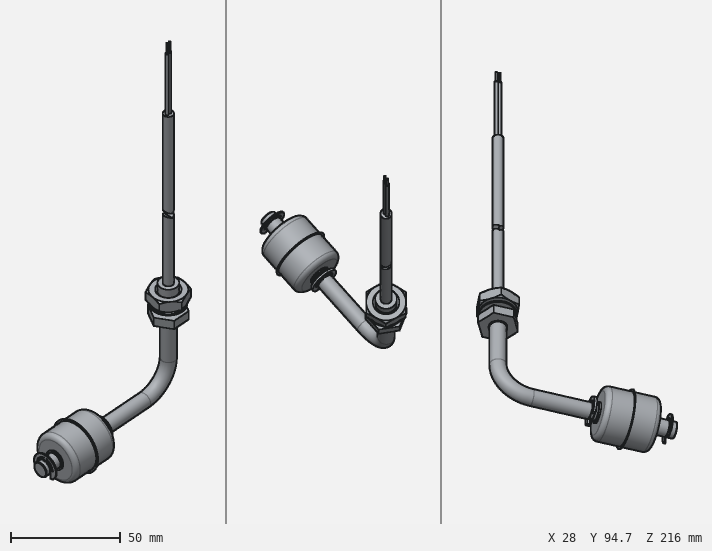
import cadquery as cq
import math


STEM_RADIUS = 4.0
BEND_RADIUS = 16.0
ARM_END_Y = -84.9
ARM_END_CHAMFER = 0.32

THREAD_RADIUS = 5.0
THREAD_BOTTOM_Z = 46.7
THREAD_TOP_Z = 59.8
THREAD_CHAMFER = 0.6
HEAD_BOTTOM_Z = 40.0
HEAD_HEIGHT = 5.0
HEAD_ACROSS_FLATS = 16.6
HEAD_ANGLE = 90.0
HEAD_COLLAR_RADIUS = 4.3
HEAD_COLLAR_HEIGHT = 0.5

NUT_BOTTOM_Z = 50.0
NUT_HEIGHT = 6.0
NUT_ACROSS_FLATS = 18.1
NUT_ANGLE = 50.0
NUT_CHAMFER_ANGLE = 30.0
NUT_COUNTERSINK = 1.0
WASHER_BOTTOM_Z = 47.5
WASHER_THICKNESS = 0.9
WASHER_RADIUS = 8.6

FLOAT_RADIUS = 13.0
FLOAT_LENGTH = 26.8
FLOAT_CENTER_Y = -61.3
FLOAT_FILLET = 2.5
FLOAT_BOSS_RADIUS = 5.0
FLOAT_BOSS_LENGTH = 0.9
SEAM_RADIUS = 14.0
SEAM_THICKNESS = 0.2

CLIP_RADIUS = 7.0
CLIP_CUT_Z = -5.0
CLIP_RECESS_RADIUS = 5.0
CLIP_PRONG_WIDTH = 1.7
GROOVE_RADIUS = 3.5
GROOVE_CLEARANCE = 0.5
BACK_CLIP_Y = -44.7
BACK_CLIP_THICKNESS = 1.3
FRONT_CLIP_Y = -81.5
FRONT_CLIP_THICKNESS = 0.6
CLIPS = [(BACK_CLIP_Y, BACK_CLIP_THICKNESS), (FRONT_CLIP_Y, FRONT_CLIP_THICKNESS)]

CABLE_RADIUS = 2.5
CABLE_TOP_Z = 160.0
BREAK_UPPER_Z = 103.5
BREAK_LOWER_Z = 100.9
BREAK_DEPTH = 1.3
WIRE_RADIUS = 0.9
WIRE_SPACING = 1.62
WIRE_TOP_Z = 196.0
CONDUCTOR_RADIUS = 0.48
CONDUCTOR_TOP_Z = 202.0


def upright_cylinder(radius, bottom_z, top_z):
    return cq.Workplane("XY").workplane(offset=bottom_z).circle(radius).extrude(top_z - bottom_z)


def arm_cylinder(radius, start_y, length):
    """Cylinder about the Y axis that runs from start_y toward -Y."""
    return cq.Workplane("XZ", origin=(0, start_y, 0)).circle(radius).extrude(length)


def corner_radius(across_flats):
    """Distance from the centre of a regular hexagon to its corners."""
    return across_flats / math.sqrt(3)


def hexagon_prism(across_flats, angle, bottom_z, height):
    """Hexagonal prism about the Z axis with one corner at the given angle from +X."""
    prism = cq.Workplane("XY").polygon(6, 2 * corner_radius(across_flats)).extrude(height)
    return prism.rotate((0, 0, 0), (0, 0, 1), angle).translate((0, 0, bottom_z))


def make_stem():
    path = (
        cq.Workplane("YZ")
        .moveTo(0, THREAD_BOTTOM_Z)
        .lineTo(0, BEND_RADIUS)
        .radiusArc((-BEND_RADIUS, 0), BEND_RADIUS)
        .lineTo(ARM_END_Y, 0)
    )
    stem = cq.Workplane("XY", origin=(0, 0, THREAD_BOTTOM_Z)).circle(STEM_RADIUS).sweep(path)
    stem = stem.faces("<Y").chamfer(ARM_END_CHAMFER)
    thread = upright_cylinder(THREAD_RADIUS, THREAD_BOTTOM_Z, THREAD_TOP_Z)
    thread = thread.faces("<Z").chamfer(THREAD_CHAMFER)
    head = hexagon_prism(HEAD_ACROSS_FLATS, HEAD_ANGLE, HEAD_BOTTOM_Z, HEAD_HEIGHT)
    collar = upright_cylinder(HEAD_COLLAR_RADIUS, HEAD_BOTTOM_Z - HEAD_COLLAR_HEIGHT, HEAD_BOTTOM_Z)
    stem = stem.union(thread).union(head).union(collar)
    for center_y, thickness in CLIPS:
        start_y = center_y + thickness / 2
        groove_width = thickness + GROOVE_CLEARANCE
        groove = arm_cylinder(2 * STEM_RADIUS, start_y, groove_width)
        stem = stem.cut(groove.cut(arm_cylinder(GROOVE_RADIUS, start_y, groove_width)))
    return stem


def make_nut():
    nut_top_z = NUT_BOTTOM_Z + NUT_HEIGHT
    nut = hexagon_prism(NUT_ACROSS_FLATS, NUT_ANGLE, NUT_BOTTOM_Z, NUT_HEIGHT)
    blank_radius = corner_radius(NUT_ACROSS_FLATS)
    chamfer_width = blank_radius - NUT_ACROSS_FLATS / 2
    chamfer_height = chamfer_width * math.tan(math.radians(NUT_CHAMFER_ANGLE))
    blank = upright_cylinder(blank_radius, NUT_BOTTOM_Z, nut_top_z)
    blank = blank.faces("<Z or >Z").edges().chamfer(chamfer_height, chamfer_width)
    nut = nut.intersect(blank).cut(upright_cylinder(THREAD_RADIUS, NUT_BOTTOM_Z, nut_top_z))
    bore_rims = nut.edges("%CIRCLE").edges(cq.selectors.RadiusNthSelector(0))
    return bore_rims.chamfer(NUT_COUNTERSINK)


def make_washer():
    washer_top_z = WASHER_BOTTOM_Z + WASHER_THICKNESS
    washer = upright_cylinder(WASHER_RADIUS, WASHER_BOTTOM_Z, washer_top_z)
    return washer.cut(upright_cylinder(THREAD_RADIUS, WASHER_BOTTOM_Z, washer_top_z))


def make_float():
    back_y = FLOAT_CENTER_Y + FLOAT_LENGTH / 2
    shell = arm_cylinder(FLOAT_RADIUS, back_y, FLOAT_LENGTH)
    shell = shell.edges().fillet(FLOAT_FILLET)
    seam = arm_cylinder(SEAM_RADIUS, FLOAT_CENTER_Y + SEAM_THICKNESS / 2, SEAM_THICKNESS)
    boss_start_y = back_y + FLOAT_BOSS_LENGTH
    sleeve_length = FLOAT_LENGTH + 2 * FLOAT_BOSS_LENGTH
    sleeve = arm_cylinder(FLOAT_BOSS_RADIUS, boss_start_y, sleeve_length)
    bore = arm_cylinder(STEM_RADIUS, boss_start_y, sleeve_length)
    return shell.union(seam).union(sleeve).cut(bore)


def make_clip(center_y, thickness):
    """Open retaining clip: two arms and a top prong grip the groove around a wider recess."""
    plane = cq.Workplane("XZ", origin=(0, center_y + thickness / 2, 0))
    disc = plane.circle(CLIP_RADIUS).extrude(thickness)
    below_plane = plane.center(0, CLIP_CUT_Z - CLIP_RADIUS)
    below = below_plane.rect(2 * CLIP_RADIUS, 2 * CLIP_RADIUS).extrude(thickness)
    slot_plane = plane.center(0, -CLIP_RADIUS / 2)
    slot = slot_plane.rect(2 * GROOVE_RADIUS, CLIP_RADIUS).extrude(thickness)
    recess = (
        plane.moveTo(-CLIP_RECESS_RADIUS, 0)
        .threePointArc((0, CLIP_RECESS_RADIUS), (CLIP_RECESS_RADIUS, 0))
        .close()
        .extrude(thickness)
    )
    prong_plane = plane.center(0, CLIP_RECESS_RADIUS / 2)
    prong = prong_plane.rect(CLIP_PRONG_WIDTH, CLIP_RECESS_RADIUS).extrude(thickness)
    seat = plane.circle(GROOVE_RADIUS).extrude(thickness)
    return disc.cut(below).cut(slot).cut(recess.cut(prong)).cut(seat)


def make_cable_piece(bottom_z, top_z, break_z, above_break):
    """Cable between two heights, with everything above or below the V-shaped break removed."""
    cable = upright_cylinder(CABLE_RADIUS, bottom_z, top_z)
    removed_end_z = top_z if above_break else bottom_z
    removed = (
        cq.Workplane("YZ")
        .moveTo(-CABLE_RADIUS, break_z)
        .lineTo(0, break_z - BREAK_DEPTH)
        .lineTo(CABLE_RADIUS, break_z)
        .lineTo(CABLE_RADIUS, removed_end_z)
        .lineTo(-CABLE_RADIUS, removed_end_z)
        .close()
        .extrude(CABLE_RADIUS, both=True)
    )
    return cable.cut(removed)


def make_lower_cable():
    return make_cable_piece(THREAD_TOP_Z, CABLE_TOP_Z, BREAK_LOWER_Z, above_break=True)


def make_upper_cable():
    """Upper piece of the cable, with two side-by-side insulated wires and their bare ends."""
    cable = make_cable_piece(THREAD_TOP_Z, CABLE_TOP_Z, BREAK_UPPER_Z, above_break=False)
    for side in (-1, 1):
        offset = (0, side * WIRE_SPACING / 2, 0)
        wire = upright_cylinder(WIRE_RADIUS, CABLE_TOP_Z, WIRE_TOP_Z)
        conductor = upright_cylinder(CONDUCTOR_RADIUS, WIRE_TOP_Z, CONDUCTOR_TOP_Z)
        cable = cable.union(wire.translate(offset)).union(conductor.translate(offset))
    return cable


stem = make_stem()
nut = make_nut()
washer = make_washer()
float_body = make_float()
clips = [make_clip(center_y, thickness) for center_y, thickness in CLIPS]
lower_cable = make_lower_cable()
upper_cable = make_upper_cable()

result = cq.Compound.makeCompound(
    [
        stem.val(),
        nut.val(),
        washer.val(),
        float_body.val(),
        *[clip.val() for clip in clips],
        lower_cable.val(),
        upper_cable.val(),
    ]
)